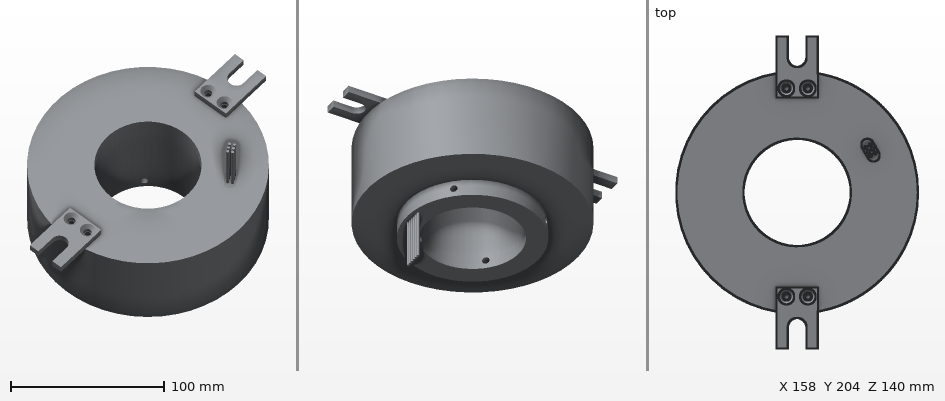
import cadquery as cq
import math

housing_radius = 79.0
housing_height = 60.0
hub_radius = 49.5
hub_height = 12.0
bore_radius = 35.0
base_z = -housing_height - hub_height

set_screw_diameter = 5.0
set_screw_angles = (45, 135, 225, 315)

tab_width = 27.0
tab_length = 40.0
tab_thickness = 5.0
tab_outer_y = 102.0
fork_slot_width = 12.0
fork_slot_depth = 20.0
tab_screw_spacing = 14.0
tab_screw_inset = 6.0
tab_screw_diameter = 5.2
countersink_diameter = 10.2
countersink_angle = 90
tapped_hole_diameter = 4.2
tapped_hole_depth = 10.0
drill_point_angle = 118

wire_diameter = 2.0
wire_length = 34.0
upper_wire_radius = 55.3
upper_wire_angle = 30
upper_wire_pitch = 3.0
upper_row_spacing = 3.3
upper_row_count = 2
upper_wires_per_row = 3
outlet_length = 16.0
outlet_width = 8.0
outlet_depth = 0.5
lower_wire_count = 6
lower_wire_pitch = 2.5
lower_wire_y = 45.0


def make_housing():
    housing = cq.Workplane("XY").circle(housing_radius).extrude(-housing_height)
    hub = cq.Workplane("XY").workplane(offset=base_z).circle(hub_radius).extrude(hub_height)
    bore = cq.Workplane("XY").circle(bore_radius).extrude(base_z)
    return housing.union(hub).cut(bore)


def make_set_screw_hole(angle):
    """Hole along +X through the hub wall, turned about Z by the angle."""
    hole = (
        cq.Workplane("YZ")
        .center(0, base_z + hub_height / 2)
        .circle(set_screw_diameter / 2)
        .extrude(housing_radius)
    )
    return hole.rotate((0, 0, 0), (0, 0, 1), angle)


def make_tab():
    """Tab on the +Y side, with the fork slot open outwards."""
    inner_y = tab_outer_y - tab_length
    plate = (
        cq.Workplane("XY")
        .center(0, inner_y + tab_length / 2)
        .rect(tab_width, tab_length)
        .extrude(tab_thickness)
    )
    fork_slot = (
        cq.Workplane("XY")
        .center(0, tab_outer_y)
        .slot2D(2 * fork_slot_depth, fork_slot_width, 90)
        .extrude(tab_thickness)
    )
    return plate.cut(fork_slot)


def make_tab_screw_hole():
    """Countersunk clearance hole in the tab above a narrower blind hole with a drill point."""
    hole_radius = tab_screw_diameter / 2
    tapped_radius = tapped_hole_diameter / 2
    sink_radius = countersink_diameter / 2
    sink_depth = (sink_radius - hole_radius) / math.tan(math.radians(countersink_angle / 2))
    point_depth = tapped_radius / math.tan(math.radians(drill_point_angle / 2))
    profile = (
        cq.Workplane("XZ")
        .moveTo(0, tab_thickness)
        .lineTo(sink_radius, tab_thickness)
        .lineTo(hole_radius, tab_thickness - sink_depth)
        .lineTo(hole_radius, 0)
        .lineTo(tapped_radius, 0)
        .lineTo(tapped_radius, -tapped_hole_depth)
        .lineTo(0, -tapped_hole_depth - point_depth)
        .close()
    )
    return profile.revolve(360, (0, 0, 0), (0, 1, 0))


def upper_outlet_plane():
    """Plane on the outlet floor: local X points radially, local Y along the wire rows."""
    angle = math.radians(upper_wire_angle)
    radial = (math.cos(angle), math.sin(angle), 0)
    centre = (upper_wire_radius * radial[0], upper_wire_radius * radial[1], -outlet_depth)
    return cq.Plane(origin=centre, xDir=radial, normal=(0, 0, 1))


def make_outlet():
    return (
        cq.Workplane(upper_outlet_plane())
        .slot2D(outlet_length, outlet_width, 90)
        .extrude(outlet_depth)
    )


def make_upper_wires():
    return (
        cq.Workplane(upper_outlet_plane())
        .rarray(upper_row_spacing, upper_wire_pitch, upper_row_count, upper_wires_per_row)
        .circle(wire_diameter / 2)
        .extrude(outlet_depth + wire_length)
    )


def make_lower_wires():
    return (
        cq.Workplane("XY")
        .workplane(offset=base_z)
        .center(0, lower_wire_y)
        .rarray(lower_wire_pitch, 1, lower_wire_count, 1)
        .circle(wire_diameter / 2)
        .extrude(-wire_length)
    )


result = make_housing().cut(make_outlet())
for screw_angle in set_screw_angles:
    result = result.cut(make_set_screw_hole(screw_angle))

tab = make_tab()
result = result.union(tab).union(tab.mirror("XZ"))
tab_screw_y = tab_outer_y - tab_length + tab_screw_inset
tab_screw_hole = make_tab_screw_hole()
for x_side in (-1, 1):
    for y_side in (-1, 1):
        position = (x_side * tab_screw_spacing / 2, y_side * tab_screw_y, 0)
        result = result.cut(tab_screw_hole.translate(position))

result = result.union(make_upper_wires()).union(make_lower_wires())